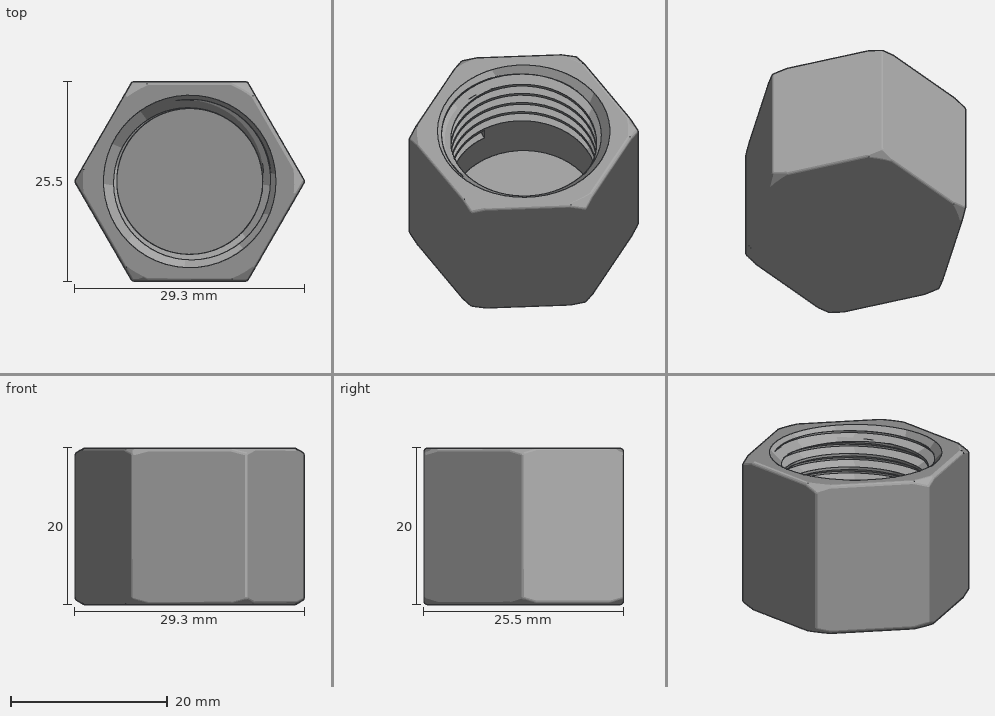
import cadquery as cq
import math

height = 20.0
width_across_corners = 29.27
edge_radius = 0.5
corner_cone_diameter = 27.0
corner_cone_slope = math.tan(math.radians(30))

mouth_diameter = 22.0
minor_diameter = 18.62
major_diameter = 20.95
pitch = 1.81
crest_width = 0.35
flank_half_angle = math.radians(27.5)
thread_turns = 5.5
root_overlap = 0.15
hole_depth = 15.0

mouth_radius = mouth_diameter / 2
minor_radius = minor_diameter / 2
major_radius = major_diameter / 2
thread_length = thread_turns * pitch
floor_z = height - hole_depth
bevel_depth = mouth_radius - minor_radius


def hexagonal_body():
    """Hexagonal prism with its corners turned off by a cone at both ends, all edges rounded."""
    rounding_loss = 2 * edge_radius * (1 / math.cos(math.pi / 6) - 1)
    prism = cq.Workplane("XY").polygon(6, width_across_corners + rounding_loss).extrude(height)
    cone_radius = corner_cone_diameter / 2
    cone_height = height / 2
    cone_outer_radius = cone_radius + cone_height / corner_cone_slope
    blank = (
        cq.Workplane("XZ")
        .polyline([
            (0, 0),
            (cone_radius, 0),
            (cone_outer_radius, cone_height),
            (cone_radius, height),
            (0, height),
        ])
        .close()
        .revolve(360, (0, 0, 0), (0, 1, 0))
    )
    return prism.intersect(blank).edges().fillet(edge_radius)


def bore():
    """Bevelled mouth and a minor-diameter bore down to the flat floor."""
    return (
        cq.Workplane("XZ")
        .polyline([
            (0, floor_z),
            (minor_radius, floor_z),
            (minor_radius, height - bevel_depth),
            (mouth_radius, height),
            (0, height),
        ])
        .close()
        .revolve(360, (0, 0, 0), (0, 1, 0))
    )


def thread_groove():
    """Helical V groove with a flat root, from the top face down to the end of the thread."""
    flank_slope = math.tan(flank_half_angle)
    half_width = (pitch - crest_width) / 2
    inner_half_width = half_width + root_overlap * flank_slope
    root_half_width = half_width - (major_radius - minor_radius) * flank_slope
    corners = [
        (minor_radius - root_overlap, -inner_half_width),
        (major_radius, -root_half_width),
        (major_radius, root_half_width),
        (minor_radius - root_overlap, inner_half_width),
    ]
    start_z = height - thread_length
    helices = [
        cq.Wire.makeHelix(pitch, thread_length, radius).translate((0, 0, start_z + offset))
        for radius, offset in corners
    ]
    faces = [
        cq.Face.makeRuledSurface(helix, helices[(i + 1) % len(helices)])
        for i, helix in enumerate(helices)
    ]
    for end in (0, 1):
        end_corners = [helix.positionAt(end) for helix in helices]
        faces.append(cq.Face.makeFromWires(cq.Wire.makePolygon(end_corners, close=True)))
    return cq.Workplane(obj=cq.Solid.makeSolid(cq.Shell.makeShell(faces)))


result = hexagonal_body().cut(bore()).cut(thread_groove())